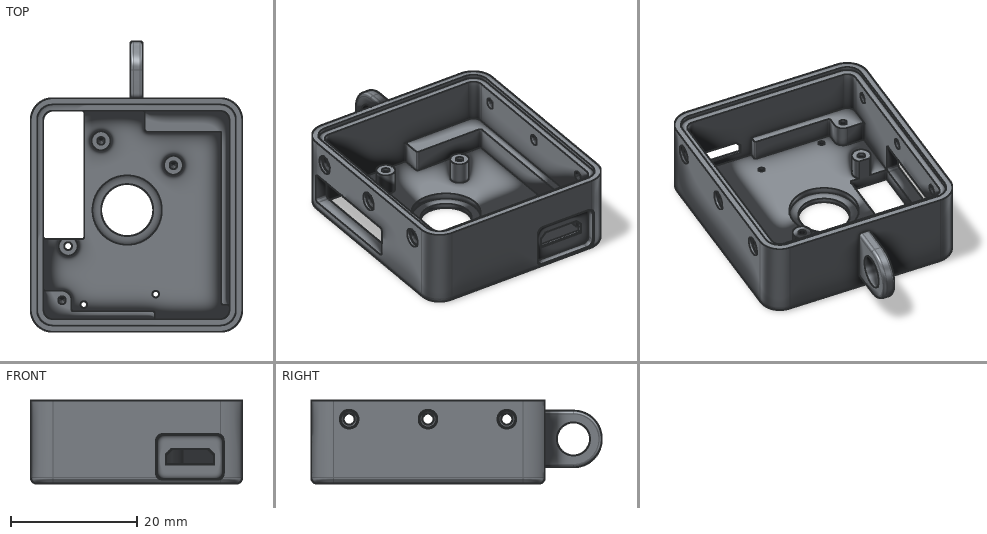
import cadquery as cq
import math

CASE_X, CASE_Y, CASE_Z = 33.5, 37.0, 13.2
CORNER_RADIUS = 3.5
BOTTOM_FILLET = 1.0
WALL = 2.02
FLOOR = 2.0
CAVITY_X, CAVITY_Y = CASE_X - 2 * WALL, CASE_Y - 2 * WALL
CAVITY_RADIUS = CORNER_RADIUS - WALL

LIP_WALL = WALL / 2
LIP_DEPTH = 0.65

SHELF_Z = 5.5
SHELF_FILLET = 0.3
BACK_LEDGE_LEFT, BACK_LEDGE_FACE = 1.35, 13.2
SIDE_LEDGE_FACE, SIDE_LEDGE_FRONT = 13.45, -14.2
FRONT_LEDGE_RIGHT, FRONT_LEDGE_FACE = 2.9, -15.23
POST_DIAMETER = 3.0
POST_HOLE_DIAMETER = 1.25
POST_HOLE_DEPTH = 3.0
DRILL_POINT_ANGLE = 118
POSTS = [(-5.6, 11.75), (5.85, 7.85)]
OPEN_POST = (-10.8, -4.9)
OPEN_POST_HOLE_DIAMETER = 1.2
CORNER_POST = (-11.78, -13.5)

PIN_HOLE_DIAMETER = 1.0
PIN_HOLES = [(-8.33, -14.15), (3.05, -12.5)]
LENS = (-1.45, 0.8)
LENS_HOLE_DIAMETER = 8.2
LENS_SEAT_DIAMETER = 11.0
LENS_SEAT_DEPTH = 1.0
LENS_CHAMFER = 0.2
WINDOW_RIGHT, WINDOW_FRONT = -8.3, -3.75
WINDOW_FILLET = 0.28

SIDE_SLOT_BACK, SIDE_SLOT_TOP = 15.0, 7.1
SIDE_SLOT_FILLET = 0.5

SCREW_PITCH = 12.45
SCREW_Z = 10.2
SCREW_HOLE_DIAMETER = 1.7
SCREW_HEAD_DIAMETER = 3.0
SCREW_HEAD_DEPTH = 0.5
SCREW_CONE_DIAMETER = 2.6
SCREW_CONE_DEPTH = 0.5

PLUG_X, PLUG_Z = 8.45, 4.25
PLUG_WIDTH, PLUG_HEIGHT = 10.4, 6.9
PLUG_RADIUS = 1.0
PLUG_DEPTH = 1.4
PLUG_CHAMFER = 0.25
SOCKET_WIDTH, SOCKET_BOTTOM, SOCKET_TOP = 7.45, 3.15, 5.45
SOCKET_BEVEL = 0.87
SOCKET_CHAMFER = 0.15

LOOP_WIDTH = 2.02
LOOP_DIAMETER = 9.0
LOOP_HOLE_DIAMETER = 5.2
LOOP_Z = 7.1
LOOP_FILLET = 0.5


def box(x0, x1, y0, y1, z0, z1):
    """Box between two opposite corners."""
    return cq.Workplane("XY").box(x1 - x0, y1 - y0, z1 - z0, centered=False).translate((x0, y0, z0))


def cylinder(place, diameter, z0, z1):
    """Upright cylinder between two heights."""
    return cq.Workplane("XY", origin=(*place, z0)).circle(diameter / 2).extrude(z1 - z0)


def drilled_hole(place):
    """Blind post hole with a conical drill point."""
    radius = POST_HOLE_DIAMETER / 2
    tip = radius / math.tan(math.radians(DRILL_POINT_ANGLE / 2))
    profile = [(0, 0), (radius, 0), (radius, -POST_HOLE_DEPTH), (0, -POST_HOLE_DEPTH - tip)]
    hole = cq.Workplane("XZ").polyline(profile).close().revolve(360, (0, 0, 0), (0, 1, 0))
    return hole.translate((*place, SHELF_Z))


def rounded_block(size_x, size_y, radius, z0, z1):
    """Centred block with rounded vertical edges."""
    return box(-size_x / 2, size_x / 2, -size_y / 2, size_y / 2, z0, z1).edges("|Z").fillet(radius)


def loop():
    """Lug with a round end and a cross hole, running into the back wall."""
    root = CASE_Y / 2 - WALL / 2
    radius = LOOP_DIAMETER / 2
    centre = CASE_Y / 2 + radius
    lug = (
        cq.Workplane("YZ", origin=(-LOOP_WIDTH / 2, 0, LOOP_Z))
        .moveTo(root, -radius)
        .lineTo(centre, -radius)
        .threePointArc((centre + radius, 0), (centre, radius))
        .lineTo(root, radius)
        .close()
        .extrude(LOOP_WIDTH)
    )
    lug = lug.faces("<X or >X").edges("not <Y").fillet(LOOP_FILLET)
    hole = (
        cq.Workplane("YZ", origin=(-LOOP_WIDTH / 2, centre, LOOP_Z))
        .circle(LOOP_HOLE_DIAMETER / 2)
        .extrude(LOOP_WIDTH)
    )
    return lug.cut(hole)


def shell():
    """Open-topped case with a stepped rim."""
    body = rounded_block(CASE_X, CASE_Y, CORNER_RADIUS, 0, CASE_Z)
    body = body.faces("<Z").edges().fillet(BOTTOM_FILLET)
    lip = rounded_block(
        CASE_X - 2 * LIP_WALL, CASE_Y - 2 * LIP_WALL, CORNER_RADIUS - LIP_WALL, CASE_Z - LIP_DEPTH, CASE_Z
    )
    cavity = rounded_block(CAVITY_X, CAVITY_Y, CAVITY_RADIUS, SHELF_Z, CASE_Z)
    return body.union(loop()).cut(cavity).cut(lip).cut(pocket())


def pocket():
    """Lower part of the cavity; what it leaves standing forms the ledges and the corner post."""
    side, back = CAVITY_X / 2, CAVITY_Y / 2
    post_radius = POST_DIAMETER / 2
    post_right, post_back = CORNER_POST[0] + post_radius, CORNER_POST[1] + post_radius
    outline = [
        (-side, post_back, SHELF_FILLET),
        (post_right, post_back, post_radius),
        (post_right, FRONT_LEDGE_FACE, SHELF_FILLET),
        (FRONT_LEDGE_RIGHT, FRONT_LEDGE_FACE, SHELF_FILLET),
        (FRONT_LEDGE_RIGHT, -back, 0),
        (side, -back, CAVITY_RADIUS),
        (side, SIDE_LEDGE_FRONT, SHELF_FILLET),
        (SIDE_LEDGE_FACE, SIDE_LEDGE_FRONT, SHELF_FILLET),
        (SIDE_LEDGE_FACE, BACK_LEDGE_FACE, SHELF_FILLET),
        (BACK_LEDGE_LEFT, BACK_LEDGE_FACE, SHELF_FILLET),
        (BACK_LEDGE_LEFT, back, SHELF_FILLET),
        (-side, back, CAVITY_RADIUS),
    ]
    points = [(x, y) for x, y, radius in outline]
    space = cq.Workplane("XY", origin=(0, 0, FLOOR)).polyline(points).close().extrude(SHELF_Z - FLOOR)
    for x, y, radius in outline:
        if radius > 0:
            edge = cq.selectors.NearestToPointSelector((x, y, (FLOOR + SHELF_Z) / 2))
            space = space.edges("|Z").edges(edge).fillet(radius)
    return space


def posts():
    """Free-standing posts on the floor."""
    pins = cq.Workplane("XY")
    for place in POSTS + [OPEN_POST]:
        pins = pins.union(cylinder(place, POST_DIAMETER, FLOOR, SHELF_Z))
    return pins


def floor_cuts():
    """Lens seat, corner window, pin holes and post holes."""
    window = box(-CAVITY_X / 2, WINDOW_RIGHT, WINDOW_FRONT, CAVITY_Y / 2, 0, SHELF_Z)
    window = window.edges("|Z").fillet(WINDOW_FILLET)
    cuts = window.intersect(rounded_block(CAVITY_X, CAVITY_Y, CAVITY_RADIUS, 0, SHELF_Z))
    cuts = cuts.union(cylinder(LENS, LENS_HOLE_DIAMETER, 0, FLOOR))
    lens_radius = LENS_HOLE_DIAMETER / 2
    lens_flare = cq.Solid.makeCone(lens_radius + LENS_CHAMFER, lens_radius, LENS_CHAMFER)
    cuts = cuts.union(cq.Workplane(lens_flare).translate((*LENS, 0)))
    cuts = cuts.union(cylinder(LENS, LENS_SEAT_DIAMETER, FLOOR - LENS_SEAT_DEPTH, FLOOR))
    cuts = cuts.union(cylinder(OPEN_POST, OPEN_POST_HOLE_DIAMETER, 0, SHELF_Z))
    for place in PIN_HOLES:
        cuts = cuts.union(cylinder(place, PIN_HOLE_DIAMETER, 0, FLOOR))
    for place in POSTS + [CORNER_POST]:
        cuts = cuts.union(drilled_hole(place))
    return cuts


def side_slot():
    """Opening level with the floor beside the corner window."""
    slot = box(-CASE_X / 2, -CAVITY_X / 2, WINDOW_FRONT, SIDE_SLOT_BACK, FLOOR, SIDE_SLOT_TOP)
    return slot.edges("|X").fillet(SIDE_SLOT_FILLET)


def screw_holes():
    """Screw holes through both X walls, each sunk from the outside."""
    head, cone, hole = SCREW_HEAD_DIAMETER / 2, SCREW_CONE_DIAMETER / 2, SCREW_HOLE_DIAMETER / 2
    face = CASE_X / 2
    seat = face - SCREW_HEAD_DEPTH
    neck = seat - SCREW_CONE_DEPTH
    profile = [(0, 0), (0, hole), (neck, hole), (seat, cone), (seat, head), (face, head), (face, 0)]
    half = cq.Workplane("XY").polyline(profile).close().revolve(360, (0, 0, 0), (1, 0, 0))
    row = half.union(half.mirror("YZ")).translate((0, 0, SCREW_Z))
    return row.union(row.translate((0, SCREW_PITCH, 0))).union(row.translate((0, -SCREW_PITCH, 0)))


def mouth(opening, chamfer):
    """Flare of the given width and depth around the -Y end of an opening."""
    rim = opening.faces("<Y").wires().val().offset2D(chamfer, "intersection")[0]
    face = cq.Face.makeFromWires(rim)
    return cq.Workplane(cq.Solid.extrudeLinear(face, cq.Vector(0, chamfer, 0), taper=45))


def plug_opening():
    """Chamfered recess for the plug with the chamfered socket opening in its floor."""
    face = -CASE_Y / 2
    recess_floor = face + PLUG_DEPTH
    recess = (
        cq.Workplane("XZ", origin=(PLUG_X, recess_floor, PLUG_Z))
        .rect(PLUG_WIDTH, PLUG_HEIGHT)
        .extrude(PLUG_DEPTH)
        .edges("|Y")
        .fillet(PLUG_RADIUS)
    )
    half = SOCKET_WIDTH / 2
    outline = [
        (-half, SOCKET_BOTTOM),
        (half, SOCKET_BOTTOM),
        (half, SOCKET_TOP - SOCKET_BEVEL),
        (half - SOCKET_BEVEL, SOCKET_TOP),
        (SOCKET_BEVEL - half, SOCKET_TOP),
        (-half, SOCKET_TOP - SOCKET_BEVEL),
    ]
    wall = -CAVITY_Y / 2 - recess_floor
    socket = cq.Workplane("XZ", origin=(PLUG_X, -CAVITY_Y / 2, 0)).polyline(outline).close().extrude(wall)
    opening = recess.union(mouth(recess, PLUG_CHAMFER))
    return opening.union(socket).union(mouth(socket, SOCKET_CHAMFER))


result = shell().union(posts())
for cut in (floor_cuts(), side_slot(), screw_holes(), plug_opening()):
    result = result.cut(cut)